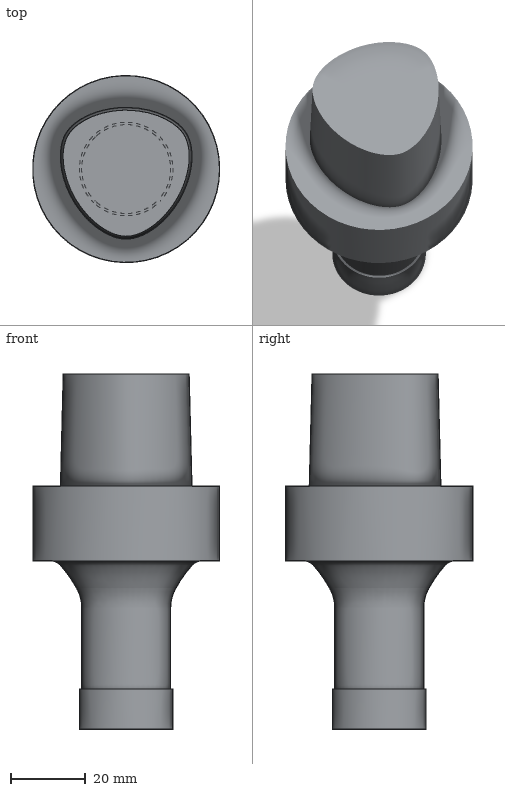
import cadquery as cq
import math

END_DIAMETER = 25.0
END_LENGTH = 10.8
NECK_DIAMETER = 23.8

COLLAR_DIAMETER = 50.0
COLLAR_LENGTH = 20.0

SHANK_LENGTH = 30.0
SHANK_BASE_WIDTH = 35.2
SHANK_TAPER = 1 / 20
SHANK_ECCENTRICITY = 1.12
OUTLINE_POINTS = 72

NECK_ARC_RADIUS = 10.5
FLANK_ARC_RADIUS = 36.0
LIP_ARC_RADIUS = 3.5
FLANK_START_ANGLE = 29.0
FLANK_END_ANGLE = 41.0

TOTAL_LENGTH = 95.0
SHANK_BASE_Z = TOTAL_LENGTH - SHANK_LENGTH
COLLAR_BOTTOM_Z = SHANK_BASE_Z - COLLAR_LENGTH

FLARE_ARCS = [
    (NECK_ARC_RADIUS, 0.0, FLANK_START_ANGLE),
    (FLANK_ARC_RADIUS, FLANK_START_ANGLE, FLANK_END_ANGLE),
    (LIP_ARC_RADIUS, FLANK_END_ANGLE, 90.0),
]


def arc_offset(arc_radius, start_angle, end_angle):
    """Radial and axial travel along a concave arc between two slopes."""
    start = math.radians(start_angle)
    end = math.radians(end_angle)
    radial = arc_radius * (math.cos(start) - math.cos(end))
    axial = arc_radius * (math.sin(end) - math.sin(start))
    return radial, axial


def turned_body():
    """End pad, neck, flare and collar, revolved about the Z axis."""
    flare_height = sum(arc_offset(*arc)[1] for arc in FLARE_ARCS)
    r = NECK_DIAMETER / 2
    z = COLLAR_BOTTOM_Z - flare_height
    profile = (
        cq.Workplane("XZ")
        .lineTo(END_DIAMETER / 2, 0)
        .lineTo(END_DIAMETER / 2, END_LENGTH)
        .lineTo(r, END_LENGTH)
        .lineTo(r, z)
    )
    for arc_radius, start_angle, end_angle in FLARE_ARCS:
        middle_angle = (start_angle + end_angle) / 2
        middle_dr, middle_dz = arc_offset(arc_radius, start_angle, middle_angle)
        end_dr, end_dz = arc_offset(arc_radius, start_angle, end_angle)
        profile = profile.threePointArc((r + middle_dr, z + middle_dz), (r + end_dr, z + end_dz))
        r += end_dr
        z += end_dz
    profile = (
        profile.lineTo(COLLAR_DIAMETER / 2, COLLAR_BOTTOM_Z)
        .lineTo(COLLAR_DIAMETER / 2, SHANK_BASE_Z)
        .lineTo(0, SHANK_BASE_Z)
        .close()
    )
    return profile.revolve(360, (0, 0), (0, 1))


def shank_outline(width, z):
    """Closed three-lobed wire at height z, with one lobe pointing to -Y."""
    def point(fraction):
        t = 2 * math.pi * fraction
        along = (
            width / 2 * math.cos(t)
            - 2 * SHANK_ECCENTRICITY * math.cos(2 * t)
            + SHANK_ECCENTRICITY * math.cos(4 * t)
        )
        across = (
            width / 2 * math.sin(t)
            + 2 * SHANK_ECCENTRICITY * math.sin(2 * t)
            + SHANK_ECCENTRICITY * math.sin(4 * t)
        )
        return cq.Vector(across, along, z)

    points = [point(i / OUTLINE_POINTS) for i in range(OUTLINE_POINTS)]
    return cq.Wire.assembleEdges([cq.Edge.makeSpline(points, periodic=True)])


def tapered_shank():
    """Lobed shank that narrows evenly towards its flat top."""
    top_width = SHANK_BASE_WIDTH - SHANK_TAPER * SHANK_LENGTH
    base = shank_outline(SHANK_BASE_WIDTH, SHANK_BASE_Z)
    top = shank_outline(top_width, TOTAL_LENGTH)
    return cq.Solid.makeLoft([base, top], True)


result = turned_body().union(cq.Workplane(tapered_shank()))